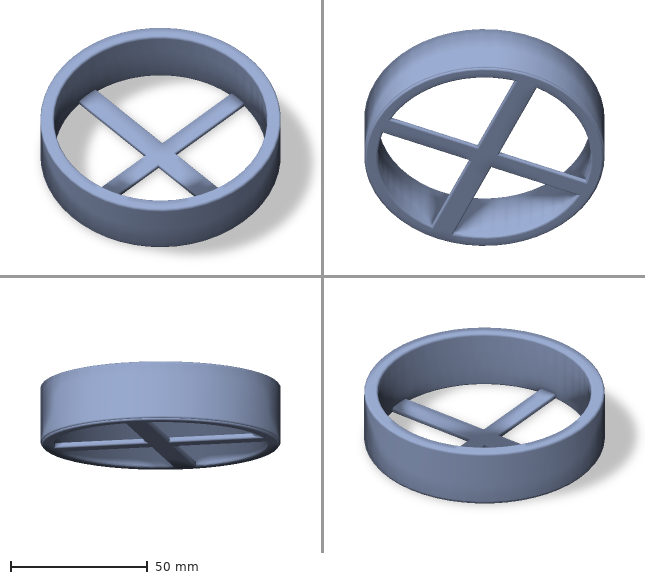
import cadquery as cq

outer_diameter = 88.0
inner_diameter = 78.0
total_height = 22.0
wall_start = 0.7
top_fillet = 1.0

base_diameter = 87.0
base_thickness = 2.0
lower_fillet = 0.7
x_bar_width = 8.5
y_bar_width = 7.0
bar_overlap = 1.8


def make_ring(diameter, start, end, end_fillet):
    """Tube between two heights with its lower and upper rims rounded."""
    ring = (
        cq.Workplane("XY", origin=(0, 0, start))
        .circle(diameter / 2)
        .circle(inner_diameter / 2)
        .extrude(end - start)
    )
    ring = ring.faces(">Z").edges().fillet(end_fillet)
    return ring.faces("<Z").edges().fillet(lower_fillet)


def make_bar(width, direction):
    """Bar through the centre along X or Y, with its four long edges rounded."""
    length = inner_diameter + 2 * bar_overlap
    size_x, size_y = (length, width) if direction == "X" else (width, length)
    bar = cq.Workplane("XY").box(size_x, size_y, base_thickness, centered=(True, True, False))
    return bar.edges("|" + direction).fillet(lower_fillet)


wall = make_ring(outer_diameter, wall_start, total_height, top_fillet)
base_ring = make_ring(base_diameter, 0, base_thickness, lower_fillet)
cross = make_bar(x_bar_width, "X").union(make_bar(y_bar_width, "Y"))

result = wall.union(base_ring).union(cross)